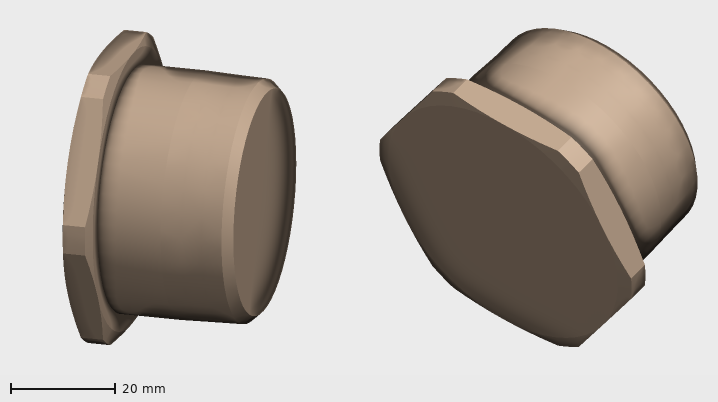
import cadquery as cq
import math

across_flats = 55.0
corner_diameter = 60.5
head_thickness = 6.0
corner_bevel_depth = 0.8

body_diameter = 48.1
taper_start = 18.5
taper_end = 30.55
total_length = 32.4
taper_end_diameter = 47.35
tip_diameter = 43.9


def revolve_about_x(profile):
    """Turn a closed (x, radius) profile about the X axis."""
    return cq.Workplane("XY").polyline(profile).close().revolve(360, (0, 0, 0), (1, 0, 0))


def make_head():
    """Hexagon with corners on Y, rounded and bevelled on both faces."""
    across_corners = across_flats / math.cos(math.radians(30))
    hexagon = cq.Workplane("YZ").polygon(6, across_corners).extrude(head_thickness)
    bevelled_disc = revolve_about_x([
        (0, 0),
        (0, across_flats / 2),
        (corner_bevel_depth, corner_diameter / 2),
        (head_thickness - corner_bevel_depth, corner_diameter / 2),
        (head_thickness, across_flats / 2),
        (head_thickness, 0),
    ])
    return hexagon.intersect(bevelled_disc)


def make_body():
    """Straight shank, slight taper and chamfered tip."""
    return revolve_about_x([
        (0, 0),
        (0, body_diameter / 2),
        (taper_start, body_diameter / 2),
        (taper_end, taper_end_diameter / 2),
        (total_length, tip_diameter / 2),
        (total_length, 0),
    ])


result = make_head().union(make_body())